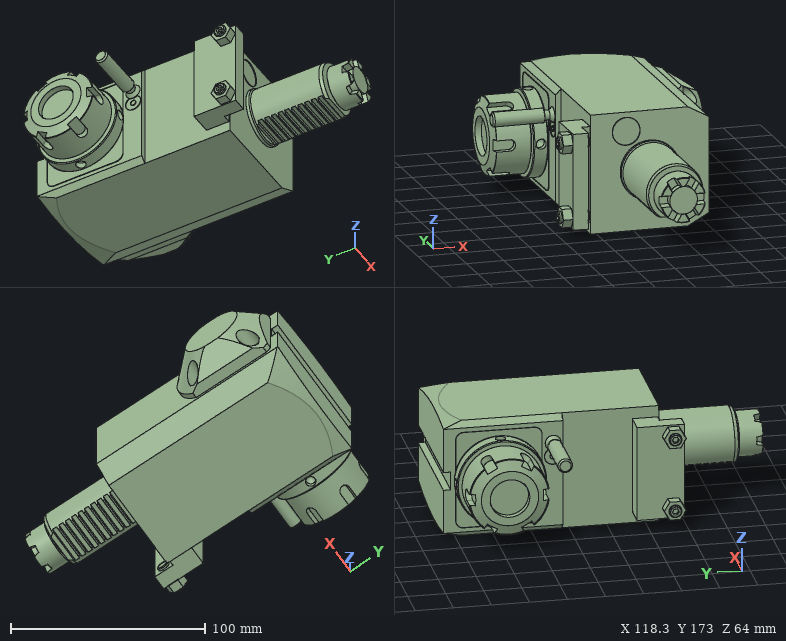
import cadquery as cq
import math


BODY_HALF = 32.0
BODY_LENGTH = 113.8
HEAD_START = 51.0
HEAD_RAISE = 3.1
HEAD_LEFT = -BODY_HALF - HEAD_RAISE
CORNER_RUN = 11.5
CORNER_DROP = 6.2
CROWN_RADIUS = 155.7
CROWN_HEIGHT = 31.1
CROWN_X = -9.0
CROWN_SLOPE = 3.9
BACK_SLOT_WIDTH = 9.9
BACK_SLOT_DEPTH = 3.8

SPINDLE_Y = 84.8
COVER_LENGTH = 45.3
COVER_HEIGHT = 53.0
COVER_CORNER = 4.2
COVER_THICKNESS = 0.3
RING_RADIUS = 23.5
RING_FACE = -43.6
RING_BACK = -35.6
RING_CHAMFER = 0.5
RING_HOLE_DIAMETER = 5.4
RING_HOLE_DEPTH = 3.5
RING_HOLE_POINT = 1.5
RING_HOLE_X = -39.6
RING_HOLE_COUNT = 4
NECK_RADIUS = 19.5
COLLET_BACK = -44.3
COLLET_FACE = -64.9
COLLET_RADIUS = 21.1
COLLET_FACE_RADIUS = 15.0
COLLET_BEVEL_RADIUS = 20.6
COLLET_BEVEL_LENGTH = 2.0
COLLET_BORE_RADIUS = 10.4
COLLET_BORE_DEPTH = 3.5
COLLET_SLOT_COUNT = 6
COLLET_SLOT_WIDTH = 6.0
COLLET_SLOT_END = -52.8
COLLET_LONG_SLOT_END = -50.7
COLLET_SLOT_FLOOR = 17.8

PIN_Y = 56.2
PIN_Z = 17.0
PIN_TIP = -68.0
PIN_SHOULDER = -40.3
PIN_RADIUS = 3.8
PIN_NECK_RADIUS = 2.6
PIN_CHAMFER = 0.9
PIN_FOOT_RADIUS = 4.2
PIN_FOOT_LENGTH = 2.0
PLUG_Z = 9.5
PLUG_RADIUS = 4.5
PLUG_SOCKET_RADIUS = 1.5
PLUG_RECESS = 0.3

BRACKET_LEFT = -44.6
BRACKET_STEP_X = -36.5
BRACKET_BACK = 14.0
BRACKET_FRONT = -10.9
BRACKET_STEP_Y = 0.5
BRACKET_HALF_HEIGHT = 25.8
SCREW_Y = -5.0
SCREW_Z = 19.9
SCREW_RADIUS = 3.3
SCREW_TIP = -51.4
SCREW_TAIL = -35.0
SCREW_CHAMFER = 0.5
SOCKET_FLATS = 3.1
SOCKET_DEPTH = 1.7
HEX_FLATS = 10.0
HEX_THICKNESS = 5.2

FLANGE_RADIUS = 16.0
FLANGE_LENGTH = 2.5
FLANGE_BEVEL = 0.7
SHANK_RADIUS = 15.2
SHANK_END = 45.2
SHANK_CHAMFER_LENGTH = 1.9
SHANK_CHAMFER_DEPTH = 0.7
SHANK_FLAT_Z = -12.3
RACK_PITCH = 4.0
RACK_COUNT = 10
RACK_DEPTH = 1.2
RACK_TIP = 0.9
RACK_ROOT = 2.5
RACK_START = 3.3
DRIVE_NECK_RADIUS = 9.2
DRIVE_START = 46.4
DRIVE_END = 59.2
DRIVE_RADIUS = 12.1
DRIVE_BEVEL = 0.3
DRIVE_CORE_RADIUS = 7.5
DRIVE_CORE_STANDOUT = 0.2
DRIVE_SLOT_COUNT = 6
DRIVE_SLOT_MOUTH = 5.9
DRIVE_SLOT_FLOOR = 4.2
DRIVE_SLOT_DEPTH = 3.8

DISC_X = -12.6
DISC_Z = 21.6
DISC_RADIUS = 7.5
DISC_RECESS = 0.5

CAP_RADIUS = 32.0
CAP_RIM_END = 35.0
CAP_END = 50.3
CAP_END_RADIUS = 16.3
CAP_HALF_HEIGHT = 23.2
CAP_SLANT_START = 37.9
CAP_SLANT_HALF_HEIGHT = 15.7
CAP_BACK = 109.3
CAP_HOLE_OFFSET = 17.3
CAP_HOLE_DIAMETER = 9.3

OVERLAP = 1.7


def along_x(points):
    """Turn a closed (x, radius) outline about the X axis."""
    return cq.Workplane("XY").polyline(points).close().revolve(360, (0, 0), (1, 0))


def x_cylinder(x_start, x_end, radius, y, z):
    return cq.Workplane("YZ", origin=(x_start, y, z)).circle(radius).extrude(x_end - x_start)


def x_hexagon(x_start, x_end, across_flats):
    """Hexagonal bar on the X axis with corners towards +Y and -Y."""
    across_corners = across_flats / math.cos(math.radians(30))
    return cq.Workplane("YZ", origin=(x_start, 0, 0)).polygon(6, across_corners).extrude(x_end - x_start)


def make_housing():
    body = (
        cq.Workplane("XZ")
        .polyline([
            (-BODY_HALF, -BODY_HALF),
            (BODY_HALF - CORNER_RUN, -BODY_HALF),
            (BODY_HALF, -BODY_HALF + CORNER_DROP),
            (BODY_HALF, BODY_HALF - CORNER_DROP),
            (BODY_HALF - CORNER_RUN, BODY_HALF),
            (-BODY_HALF, BODY_HALF),
        ])
        .close()
        .extrude(-BODY_LENGTH)
    )
    head_edge = BODY_HALF - HEAD_RAISE
    head = (
        cq.Workplane("XZ", origin=(0, HEAD_START, 0))
        .polyline([
            (-BODY_HALF, -BODY_HALF),
            (-BODY_HALF, BODY_HALF),
            (HEAD_LEFT, head_edge),
            (HEAD_LEFT, -head_edge),
        ])
        .close()
        .extrude(HEAD_START - BODY_LENGTH)
    )
    housing = body.union(head)
    for side in (1, -1):
        housing = housing.intersect(make_crown(side))
    slot = cq.Workplane("XY").box(4 * BODY_HALF, 2 * BACK_SLOT_DEPTH, BACK_SLOT_WIDTH)
    recess = (
        cq.Workplane("XZ", origin=(DISC_X, 0, DISC_Z)).circle(DISC_RADIUS).extrude(-DISC_RECESS)
    )
    return housing.cut(slot.translate((0, BODY_LENGTH, 0))).cut(recess)


def make_crown(side):
    """Wide cone that bevels the back of the top (side 1) or bottom (side -1) face."""
    front_radius = CROWN_RADIUS + BODY_LENGTH / CROWN_SLOPE
    return (
        cq.Workplane("XY")
        .polyline([(0, 0), (front_radius, 0), (CROWN_RADIUS, BODY_LENGTH), (0, BODY_LENGTH)])
        .close()
        .revolve(360, (0, 0), (0, 1))
        .translate((CROWN_X, 0, side * (CROWN_HEIGHT - CROWN_RADIUS)))
    )


def make_cover():
    return (
        cq.Workplane("XY")
        .box(2 * COVER_THICKNESS, COVER_LENGTH, COVER_HEIGHT)
        .edges("|X")
        .fillet(COVER_CORNER)
        .translate((HEAD_LEFT, SPINDLE_Y, 0))
    )


def make_collet():
    """Spindle ring and slotted collet nut, built on the X axis and moved to the spindle."""
    bevel_x = COLLET_FACE + COLLET_BEVEL_LENGTH
    collet = along_x([
        (HEAD_LEFT + OVERLAP, 0),
        (HEAD_LEFT + OVERLAP, NECK_RADIUS),
        (RING_BACK, NECK_RADIUS),
        (RING_BACK, RING_RADIUS - RING_CHAMFER),
        (RING_BACK - RING_CHAMFER, RING_RADIUS),
        (RING_FACE + RING_CHAMFER, RING_RADIUS),
        (RING_FACE, RING_RADIUS - RING_CHAMFER),
        (RING_FACE, NECK_RADIUS),
        (COLLET_BACK, NECK_RADIUS),
        (COLLET_BACK, COLLET_RADIUS),
        (bevel_x, COLLET_RADIUS),
        (bevel_x, COLLET_BEVEL_RADIUS),
        (COLLET_FACE, COLLET_FACE_RADIUS),
        (COLLET_FACE, COLLET_BORE_RADIUS),
        (COLLET_FACE + COLLET_BORE_DEPTH, COLLET_BORE_RADIUS),
        (COLLET_FACE + COLLET_BORE_DEPTH, 0),
    ])
    for i in range(COLLET_SLOT_COUNT):
        tilt = (i + 0.5) * 360 / COLLET_SLOT_COUNT - 180
        points_up = abs(tilt) < 90
        slot = make_collet_slot(COLLET_LONG_SLOT_END if points_up else COLLET_SLOT_END)
        collet = collet.cut(slot.rotate((0, 0, 0), (1, 0, 0), tilt))
    hole = make_ring_hole()
    for i in range(RING_HOLE_COUNT):
        collet = collet.cut(hole.rotate((0, 0, 0), (1, 0, 0), i * 360 / RING_HOLE_COUNT))
    return collet.translate((0, SPINDLE_Y, 0))


def make_collet_slot(end_x):
    """Flat-floored slot on top of the collet nut, open at its face and round at end_x."""
    return (
        cq.Workplane("XY", origin=(COLLET_FACE, 0, COLLET_SLOT_FLOOR))
        .slot2D(2 * (end_x - COLLET_FACE), COLLET_SLOT_WIDTH)
        .extrude(COLLET_RADIUS)
    )


def make_ring_hole():
    """Spanner hole with a drill point, on top of the spindle ring."""
    radius = RING_HOLE_DIAMETER / 2
    floor = RING_RADIUS - RING_HOLE_DEPTH
    return (
        cq.Workplane("XZ")
        .polyline([
            (0, floor - RING_HOLE_POINT),
            (radius, floor),
            (radius, RING_RADIUS + OVERLAP),
            (0, RING_RADIUS + OVERLAP),
        ])
        .close()
        .revolve(360, (0, 0), (0, 1))
        .translate((RING_HOLE_X, 0, 0))
    )


def make_pin():
    return along_x([
        (PIN_TIP, 0),
        (PIN_TIP, PIN_RADIUS - PIN_CHAMFER),
        (PIN_TIP + PIN_CHAMFER, PIN_RADIUS),
        (PIN_SHOULDER, PIN_RADIUS),
        (PIN_SHOULDER, PIN_NECK_RADIUS),
        (HEAD_LEFT - PIN_FOOT_LENGTH, PIN_NECK_RADIUS),
        (HEAD_LEFT, PIN_FOOT_RADIUS),
        (HEAD_LEFT + OVERLAP, PIN_FOOT_RADIUS),
        (HEAD_LEFT + OVERLAP, 0),
    ]).translate((0, PIN_Y, PIN_Z))


def make_plug_recess():
    """Shallow ring recess that leaves a small round centre standing."""
    outer = x_cylinder(HEAD_LEFT, HEAD_LEFT + PLUG_RECESS, PLUG_RADIUS, PIN_Y, PLUG_Z)
    centre = x_cylinder(HEAD_LEFT, HEAD_LEFT + PLUG_RECESS, PLUG_SOCKET_RADIUS, PIN_Y, PLUG_Z)
    return outer.cut(centre)


def make_bracket():
    inner_x = -BODY_HALF + OVERLAP
    bracket = (
        cq.Workplane("XY", origin=(0, 0, -BRACKET_HALF_HEIGHT))
        .polyline([
            (BRACKET_LEFT, BRACKET_FRONT),
            (BRACKET_STEP_X, BRACKET_FRONT),
            (BRACKET_STEP_X, BRACKET_STEP_Y),
            (inner_x, BRACKET_STEP_Y),
            (inner_x, BRACKET_BACK),
            (BRACKET_LEFT, BRACKET_BACK),
        ])
        .close()
        .extrude(2 * BRACKET_HALF_HEIGHT)
    )
    for side in (1, -1):
        bracket = bracket.union(make_screw().translate((0, SCREW_Y, side * SCREW_Z)))
    return bracket


def make_screw():
    nut = x_hexagon(BRACKET_LEFT - HEX_THICKNESS, BRACKET_LEFT, HEX_FLATS)
    screw = x_cylinder(SCREW_TIP, SCREW_TAIL, SCREW_RADIUS, 0, 0)
    screw = screw.faces("<X or >X").chamfer(SCREW_CHAMFER)
    socket = x_hexagon(SCREW_TIP, SCREW_TIP + SOCKET_DEPTH, SOCKET_FLATS)
    return nut.union(screw).cut(socket)


def make_shank():
    """Round shank with a toothed flat underneath and a slotted drive nut at its end."""
    teeth_end = DRIVE_END - DRIVE_CORE_STANDOUT
    shank = (
        cq.Workplane("XY")
        .polyline([
            (0, OVERLAP),
            (FLANGE_RADIUS, OVERLAP),
            (FLANGE_RADIUS, FLANGE_BEVEL - FLANGE_LENGTH),
            (SHANK_RADIUS, -FLANGE_LENGTH),
            (SHANK_RADIUS, SHANK_CHAMFER_LENGTH - SHANK_END),
            (SHANK_RADIUS - SHANK_CHAMFER_DEPTH, -SHANK_END),
            (DRIVE_NECK_RADIUS, -SHANK_END),
            (DRIVE_NECK_RADIUS, -DRIVE_START),
            (DRIVE_RADIUS, -DRIVE_START),
            (DRIVE_RADIUS, DRIVE_BEVEL - teeth_end),
            (DRIVE_RADIUS - DRIVE_BEVEL, -teeth_end),
            (DRIVE_CORE_RADIUS, -teeth_end),
            (DRIVE_CORE_RADIUS, -DRIVE_END),
            (0, -DRIVE_END),
        ])
        .close()
        .revolve(360, (0, 0), (0, 1))
    )
    return shank.cut(make_rack_cut()).cut(make_drive_slots())


def make_rack_cut():
    flat_depth = 2 * SHANK_RADIUS
    cut = (
        cq.Workplane("XY")
        .box(2 * SHANK_RADIUS, SHANK_END - FLANGE_LENGTH, flat_depth)
        .translate((0, -(SHANK_END + FLANGE_LENGTH) / 2, SHANK_FLAT_Z - flat_depth / 2))
    )
    gap_mouth = RACK_PITCH - RACK_TIP
    groove = (
        cq.Workplane("YZ", origin=(-SHANK_RADIUS, 0, SHANK_FLAT_Z))
        .polyline([
            (-gap_mouth / 2, 0),
            (-RACK_ROOT / 2, RACK_DEPTH),
            (RACK_ROOT / 2, RACK_DEPTH),
            (gap_mouth / 2, 0),
        ])
        .close()
        .extrude(2 * SHANK_RADIUS)
    )
    for i in range(RACK_COUNT):
        cut = cut.union(groove.translate((0, -RACK_START - (i + 0.5) * RACK_PITCH, 0)))
    return cut


def make_drive_slots():
    """Radial slots with sloping walls, cut around the solid core of the drive nut."""
    slots = cq.Workplane("XY")
    floor_y = DRIVE_SLOT_DEPTH - DRIVE_END
    for i in range(DRIVE_SLOT_COUNT):
        slot = (
            cq.Workplane("YZ")
            .polyline([
                (floor_y, -DRIVE_SLOT_FLOOR / 2),
                (floor_y, DRIVE_SLOT_FLOOR / 2),
                (-DRIVE_END, DRIVE_SLOT_MOUTH / 2),
                (-DRIVE_END, -DRIVE_SLOT_MOUTH / 2),
            ])
            .close()
            .extrude(DRIVE_RADIUS + OVERLAP)
            .rotate((0, 0, 0), (0, 1, 0), i * 360 / DRIVE_SLOT_COUNT)
        )
        slots = slots.union(slot)
    core = (
        cq.Workplane("XZ", origin=(0, floor_y, 0))
        .circle(DRIVE_CORE_RADIUS)
        .extrude(DRIVE_SLOT_DEPTH)
    )
    return slots.cut(core)


def make_cap():
    """Conical end cap with flats above, below and behind, and four recessed holes."""
    cap = along_x([
        (BODY_HALF - OVERLAP, 0),
        (BODY_HALF - OVERLAP, CAP_HALF_HEIGHT),
        (BODY_HALF, CAP_HALF_HEIGHT),
        (BODY_HALF, CAP_RADIUS),
        (CAP_RIM_END, CAP_RADIUS),
        (CAP_END, CAP_END_RADIUS),
        (CAP_END, 0),
    ]).translate((0, SPINDLE_Y, 0))
    envelope = (
        cq.Workplane("XZ", origin=(0, CAP_BACK, 0))
        .polyline([
            (BODY_HALF - OVERLAP, -CAP_HALF_HEIGHT),
            (CAP_SLANT_START, -CAP_HALF_HEIGHT),
            (CAP_END, -CAP_SLANT_HALF_HEIGHT),
            (CAP_END, CAP_SLANT_HALF_HEIGHT),
            (CAP_SLANT_START, CAP_HALF_HEIGHT),
            (BODY_HALF - OVERLAP, CAP_HALF_HEIGHT),
        ])
        .close()
        .extrude(CAP_BACK)
    )
    cap = cap.intersect(envelope)
    for y_side in (1, -1):
        for z_side in (1, -1):
            hole_y = SPINDLE_Y + y_side * CAP_HOLE_OFFSET
            hole_z = z_side * CAP_HOLE_OFFSET
            cap = cap.cut(x_cylinder(CAP_RIM_END, CAP_END, CAP_HOLE_DIAMETER / 2, hole_y, hole_z))
    return cap


result = (
    make_housing()
    .union(make_cover())
    .cut(make_plug_recess())
    .union(make_collet())
    .union(make_pin())
    .union(make_bracket())
    .union(make_shank())
    .union(make_cap())
)